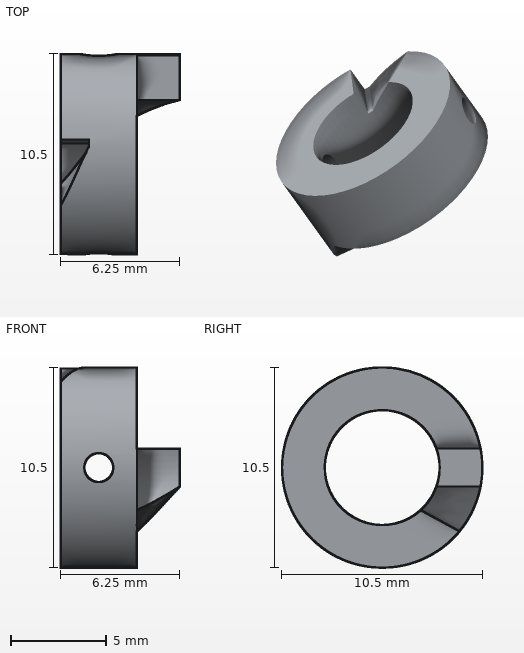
import cadquery as cq
import math

outer_radius = 5.25
bore_radius = 3.0
ring_length = 4.0

small_hole_diameter = 1.5
large_hole_diameter = 2.0

notch_depth = 1.5
notch_floor_width = 0.3
ramp_start_angle = 5.0
ramp_end_angle = -31.0

tooth_length = 2.25
tooth_half_width = 1.0
tooth_ramp_end_inner = (2.01, -2.23)
tooth_ramp_end_outer = (4.05, -3.34)

overlap = 0.52
inner_reach = bore_radius - overlap
outer_reach = outer_radius + overlap


def tube(x_start, length):
    return (
        cq.Workplane("YZ", origin=(x_start, 0, 0))
        .circle(outer_radius)
        .circle(bore_radius)
        .extrude(length)
    )


def polar_point(radius, angle):
    """(Y, Z) at an angle measured from +Z towards +Y."""
    return (radius * math.sin(math.radians(angle)), radius * math.cos(math.radians(angle)))


def extended_line(first, second):
    """Ends of the (Y, Z) line through two points, lengthened at both ends."""
    length = math.dist(first, second)
    step = [overlap * (b - a) / length for a, b in zip(first, second)]
    return (
        (first[0] - step[0], first[1] - step[1]),
        (second[0] + step[0], second[1] + step[1]),
    )


def upright_section(line, x_low, x_high):
    """Rectangle standing along X on a (Y, Z) line."""
    inner, outer = line
    corners = [(x_low, *inner), (x_low, *outer), (x_high, *outer), (x_high, *inner)]
    return cq.Wire.makePolygon([cq.Vector(*c) for c in corners], close=True)


def ramp(start_line, end_line, x_base, x_start, x_end):
    """Wedge whose twisted sloping face joins the two lines."""
    sections = [
        upright_section(start_line, x_base, x_start),
        upright_section(end_line, x_base, x_end),
    ]
    return cq.Workplane(cq.Solid.makeLoft(sections, True))


def notch():
    start_line = [polar_point(r, ramp_start_angle) for r in (inner_reach, outer_reach)]
    end_line = [polar_point(r, ramp_end_angle) for r in (inner_reach, outer_reach)]
    floor = (
        cq.Workplane("XY")
        .box(notch_depth + overlap, notch_floor_width, outer_reach - inner_reach, centered=False)
        .translate((-overlap, 0, inner_reach))
        .rotate((0, 0, 0), (1, 0, 0), -ramp_start_angle)
    )
    return floor.union(ramp(start_line, end_line, -overlap, notch_depth, 0))


def tooth():
    base = ring_length - overlap
    tip = ring_length + tooth_length
    block = (
        cq.Workplane("XY")
        .box(tip - base, outer_reach, 2 * tooth_half_width, centered=False)
        .translate((base, 0, -tooth_half_width))
    )
    start_line = [(y, -tooth_half_width) for y in (inner_reach - overlap, outer_reach)]
    end_line = extended_line(tooth_ramp_end_inner, tooth_ramp_end_outer)
    blank = block.union(ramp(start_line, end_line, base, tip, ring_length))
    return blank.intersect(tube(base, tip - base))


def cross_hole(diameter, direction):
    return (
        cq.Workplane("XZ", origin=(ring_length / 2, 0, 0))
        .circle(diameter / 2)
        .extrude(-direction * outer_reach)
    )


result = (
    tube(0, ring_length)
    .cut(notch())
    .union(tooth())
    .cut(cross_hole(small_hole_diameter, -1))
    .cut(cross_hole(large_hole_diameter, 1))
)